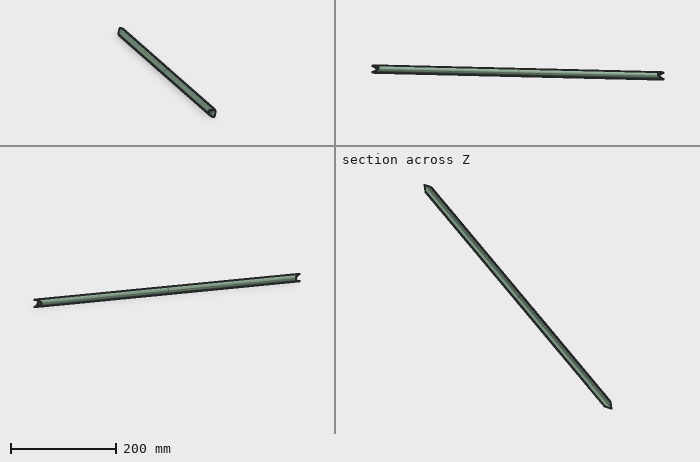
import cadquery as cq
import math

size_x = 356.5
size_y = 426.5
tube_diameter = 15.0
wall_thickness = 1.0
tip_angle = 64.0

tube_radius = tube_diameter / 2
tube_length = math.hypot(size_x, size_y)
slope = math.degrees(math.atan2(size_y, size_x))
tip_depth = tube_radius / math.tan(math.radians(tip_angle / 2))


def make_tube():
    """Straight round tube, centred on the origin along X."""
    return (
        cq.Workplane("YZ")
        .circle(tube_radius)
        .circle(tube_radius - wall_thickness)
        .extrude(tube_length / 2, both=True)
    )


def make_pointed_envelope():
    """Hexagonal prism along Z whose end faces mitre the tube to a point at both ends."""
    tip_x = tube_length / 2
    shoulder_x = tip_x - tip_depth
    outline = [
        (tip_x, 0),
        (shoulder_x, tube_radius),
        (-shoulder_x, tube_radius),
        (-tip_x, 0),
        (-shoulder_x, -tube_radius),
        (shoulder_x, -tube_radius),
    ]
    return cq.Workplane("XY").polyline(outline).close().extrude(tube_diameter, both=True)


brace = make_tube().intersect(make_pointed_envelope())

result = brace.rotate((0, 0, 0), (0, 0, 1), -slope)